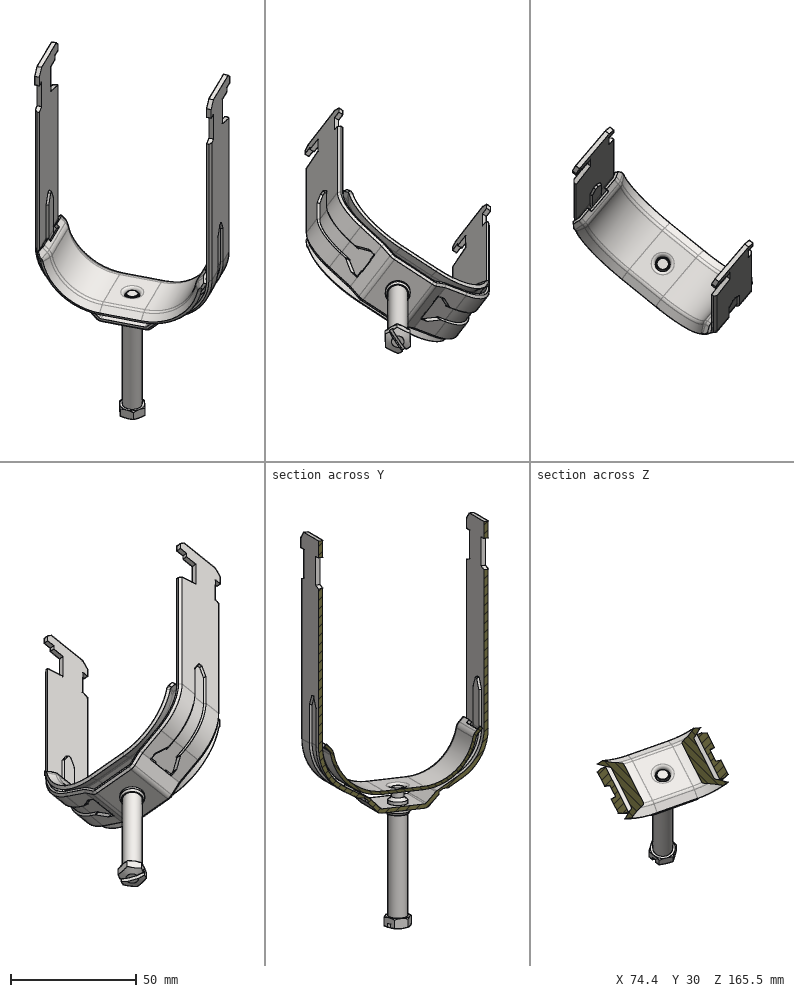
import cadquery as cq
import math


total_height = 165.5
clamp_half_width = 74.36 / 2
strap_bottom_z = 49.6
saddle_top_z = 58.9

strap_width = 23.5
strap_thickness = 2.0
strap_edge_chamfer = 1.0
strap_arc_radius = 22.0
strap_arc_z = 79.6
slant_angle = math.radians(29)
kink_x = 15.6
steep_angle = math.radians(45)
bottom_bend_radius = 3.0

neck_bottom_z = 146.5
neck_back_y = 2.7
neck_front_y = -8.8
hook_bottom_z = 158.4
hook_step_y = 8.15
hook_step_z = 160.4
hook_back_chamfer = 2.1
hook_front_chamfer = 2.9
shoulder_slope = 0.3

bead_depth = 1.0
bead_half_width = 3.25
bead_wall_run = 0.4
bead_tip_half_width = 0.9
bead_tip_z = 100.0
bead_shoulder_z = 95.5
bead_overlap = 2.0
flare_half_width = 6.0
flare_start_z = 59.0
flare_full_z = 56.4

collar_diameter = 10.0
collar_height = 2.2
collar_chamfer = 0.6

saddle_width = 30.0
saddle_thickness = 1.57
saddle_flat_half = 8.75
saddle_radius = 22.0
saddle_end_angle = math.radians(79)
rim_angle = math.radians(30)
rim_bend_radius = 3.0
rim_bend_y = 10.2
lip_bend_radius = 4.5
lip_angle = math.radians(45)
lip_clearance = 0.02
lip_notch_half_width = 5.3
lip_notch_depth = 1.55
saddle_corner = 2.4
saddle_hole_diameter = 6.0
saddle_hole_rounding = 1.6

shaft_diameter = 8.0
head_across_flats = 10.0
head_height = 5.0
head_turn = -7.5
head_face_diameter = 5.0
head_bevel_height = 1.2
head_top_bevel = 0.4
slot_width = 1.6
slot_depth = 2.5
slot_turn = 30
shaft_top_z = 53.0
neck_diameter = 5.0
neck_cone_height = 1.3
bolt_tip_diameter = 4.5
bolt_tip_recess = 0.6
bolt_tip_z = saddle_top_z - bolt_tip_recess


arc_x = clamp_half_width - strap_arc_radius
arc_end_x = arc_x + strap_arc_radius * math.sin(slant_angle)
arc_end_z = strap_arc_z - strap_arc_radius * math.cos(slant_angle)
kink_z = arc_end_z - (arc_end_x - kink_x) * math.tan(slant_angle)
bottom_x = kink_x - (kink_z - strap_bottom_z) / math.tan(steep_angle)
arc_mid_angle = (math.pi / 2 - slant_angle) / 2
arc_mid_x = arc_x + strap_arc_radius * math.cos(arc_mid_angle)
arc_mid_z = strap_arc_z - strap_arc_radius * math.sin(arc_mid_angle)
inner_face_x = clamp_half_width - strap_thickness


def u_outline(top_z):
    """Closed outline of the outside of the U, cut off flat at top_z."""
    return (
        cq.Workplane("XZ")
        .moveTo(-clamp_half_width, top_z)
        .lineTo(-clamp_half_width, strap_arc_z)
        .threePointArc((-arc_mid_x, arc_mid_z), (-arc_end_x, arc_end_z))
        .lineTo(-kink_x, kink_z)
        .lineTo(-bottom_x, strap_bottom_z)
        .lineTo(bottom_x, strap_bottom_z)
        .lineTo(kink_x, kink_z)
        .lineTo(arc_end_x, arc_end_z)
        .threePointArc((arc_mid_x, arc_mid_z), (clamp_half_width, strap_arc_z))
        .lineTo(clamp_half_width, top_z)
        .close()
    )


def u_band():
    """Plain bent strap up to the neck, with chamfered outer edges."""
    spare_height = 10.0
    outside = u_outline(neck_bottom_z + spare_height).extrude(strap_width / 2, both=True)
    outside = outside.faces("<Z").edges("|Y").fillet(bottom_bend_radius)
    outside = outside.faces("<Y or >Y").chamfer(strap_edge_chamfer)
    inside = u_outline(total_height).offset2D(-strap_thickness).extrude(strap_width, both=True)
    inside = inside.faces("<Z").edges("|Y").fillet(bottom_bend_radius - strap_thickness)
    above_neck = (
        cq.Workplane("XY", origin=(0, 0, neck_bottom_z))
        .rect(3 * clamp_half_width, 2 * strap_width)
        .extrude(2 * spare_height)
    )
    return outside.cut(inside).cut(above_neck)


def hook_plates():
    """Neck and asymmetric hook on top of both legs."""
    edge_y = strap_width / 2
    outline = [
        (neck_back_y, neck_bottom_z),
        (neck_back_y, hook_bottom_z),
        (hook_step_y, hook_bottom_z),
        (hook_step_y, hook_step_z),
        (edge_y, hook_step_z),
        (edge_y, total_height - hook_back_chamfer),
        (edge_y - hook_back_chamfer, total_height),
        (-edge_y + hook_front_chamfer, total_height),
        (-edge_y, total_height - hook_front_chamfer),
        (-edge_y, hook_bottom_z),
        (neck_front_y, hook_bottom_z),
        (neck_front_y, neck_bottom_z),
    ]
    plates = cq.Workplane("YZ").polyline(outline).close().extrude(clamp_half_width, both=True)
    gap = cq.Workplane("XY").box(2 * inner_face_x, 2 * strap_width, 3 * total_height)
    return plates.cut(gap)


def shoulder_wedges():
    """Material removed to slope the shoulders down from the neck."""
    wedges = cq.Workplane("YZ")
    for neck_y, edge_y in ((neck_back_y, strap_width / 2), (neck_front_y, -strap_width / 2)):
        drop = shoulder_slope * abs(edge_y - neck_y)
        wedge = (
            cq.Workplane("YZ")
            .polyline([(neck_y, neck_bottom_z), (edge_y, neck_bottom_z), (edge_y, neck_bottom_z - drop)])
            .close()
            .extrude(clamp_half_width, both=True)
        )
        wedges = wedges.add(wedge)
    return wedges.combine()


def bead_sweep(depth_offset, end_along_slant):
    """Trapezoid bar following the left leg, its wide face depth_offset inside the outer surface.

    It runs down the leg and its arc, then end_along_slant further along the slanted part.
    """
    start_x = -clamp_half_width + depth_offset
    radius = strap_arc_radius - depth_offset
    end_x = -arc_x - radius * math.sin(slant_angle)
    end_z = strap_arc_z - radius * math.cos(slant_angle)
    path = (
        cq.Workplane("XZ")
        .moveTo(start_x, bead_shoulder_z)
        .lineTo(start_x, strap_arc_z)
        .threePointArc(
            (-arc_x - radius * math.cos(arc_mid_angle), strap_arc_z - radius * math.sin(arc_mid_angle)),
            (end_x, end_z),
        )
    )
    if end_along_slant > 0:
        path = path.lineTo(
            end_x + end_along_slant * math.cos(slant_angle),
            end_z - end_along_slant * math.sin(slant_angle),
        )
    floor_half = bead_half_width - bead_wall_run
    section = (
        cq.Workplane("XY", origin=(0, 0, bead_shoulder_z))
        .polyline([
            (start_x, -bead_half_width),
            (start_x, bead_half_width),
            (start_x + bead_depth, floor_half),
            (start_x + bead_depth, -floor_half),
        ])
        .close()
    )
    return section.sweep(path).union(bead_tip(start_x))


def bead_tip(start_x):
    """Pointed upper end of the bead with sloping walls, wide face at start_x."""
    tip = (
        cq.Workplane("YZ", origin=(start_x, 0, 0))
        .polyline([
            (-bead_half_width, bead_shoulder_z - bead_overlap),
            (-bead_half_width, bead_shoulder_z),
            (-bead_tip_half_width, bead_tip_z),
            (bead_tip_half_width, bead_tip_z),
            (bead_half_width, bead_shoulder_z),
            (bead_half_width, bead_shoulder_z - bead_overlap),
        ])
        .close()
    )
    return tip.extrude(bead_depth, taper=math.degrees(math.atan2(bead_wall_run, bead_depth)))


def bead_flare():
    """Widening foot of the bead groove, ending at the kink of the strap."""
    floor = u_outline(total_height).offset2D(-bead_depth).extrude(strap_width, both=True)
    foot = (
        cq.Workplane("YZ", origin=(-kink_x, 0, 0))
        .polyline([
            (-bead_half_width, flare_start_z),
            (bead_half_width, flare_start_z),
            (flare_half_width, flare_full_z),
            (flare_half_width, kink_z - bead_depth),
            (-flare_half_width, kink_z - bead_depth),
            (-flare_half_width, flare_full_z),
        ])
        .close()
        .extrude(-clamp_half_width)
    )
    return foot.cut(floor)


def make_strap():
    slant_length = (arc_end_x - kink_x) / math.cos(slant_angle)
    groove = bead_sweep(0, slant_length)
    rib = bead_sweep(strap_thickness, 0)
    flare = bead_flare()
    strap = u_band().union(hook_plates()).cut(shoulder_wedges())
    strap = strap.union(rib).union(rib.mirror("YZ"))
    for cutter in (groove, flare):
        strap = strap.cut(cutter).cut(cutter.mirror("YZ"))
    collar = (
        cq.Workplane("XY", origin=(0, 0, strap_bottom_z - collar_height))
        .circle(collar_diameter / 2)
        .extrude(collar_height)
        .faces("<Z")
        .chamfer(collar_height / 2, collar_chamfer)
    )
    bolt_hole = cq.Workplane("XY").circle(shaft_diameter / 2).extrude(saddle_top_z)
    return strap.union(collar).cut(bolt_hole)


saddle_arc_z = saddle_top_z + saddle_radius

rim_under_radius = rim_bend_radius - saddle_thickness
rim_end_y = saddle_width / 2
rim_bend_end_y = rim_bend_y + rim_bend_radius * math.sin(rim_angle)
rim_bend_end_depth = rim_bend_radius * (1 - math.cos(rim_angle))
rim_end_depth = rim_bend_end_depth + (rim_end_y - rim_bend_end_y) * math.tan(rim_angle)
rim_low_y = rim_end_y - saddle_thickness * math.sin(rim_angle)
rim_low_depth = rim_end_depth + saddle_thickness * math.cos(rim_angle)
strap_edge_depth = rim_low_depth - (rim_low_y - strap_width / 2) * math.tan(rim_angle)

arc_end = (
    saddle_flat_half + saddle_radius * math.sin(saddle_end_angle),
    saddle_arc_z - saddle_radius * math.cos(saddle_end_angle),
)
lip_bend_centre = (
    arc_end[0] + lip_bend_radius * math.sin(saddle_end_angle),
    arc_end[1] - lip_bend_radius * math.cos(saddle_end_angle),
)
lip_start = (
    lip_bend_centre[0] - lip_bend_radius * math.sin(lip_angle),
    lip_bend_centre[1] + lip_bend_radius * math.cos(lip_angle),
)
lip_tip_x = inner_face_x - lip_clearance - strap_edge_depth * math.sin(lip_angle)
lip_length = (lip_tip_x - lip_start[0]) / math.cos(lip_angle)
lip_tip_z = lip_start[1] + lip_length * math.sin(lip_angle)
saddle_reach = lip_tip_x + rim_low_depth * math.sin(lip_angle)


def tray_section(position, heading):
    """Tray cross-section at an (x, z) position, square to a course rising at the heading angle."""
    plane = cq.Plane(
        origin=(position[0], 0, position[1]),
        xDir=(0, 1, 0),
        normal=(math.cos(heading), 0, math.sin(heading)),
    )

    def on_bend(radius, angle, side):
        return (
            side * (rim_bend_y + radius * math.sin(angle)),
            radius * math.cos(angle) - rim_bend_radius,
        )

    return (
        cq.Workplane(plane)
        .moveTo(-rim_end_y, -rim_end_depth)
        .lineTo(*on_bend(rim_bend_radius, rim_angle, -1))
        .threePointArc(on_bend(rim_bend_radius, rim_angle / 2, -1), on_bend(rim_bend_radius, 0, -1))
        .lineTo(*on_bend(rim_bend_radius, 0, 1))
        .threePointArc(on_bend(rim_bend_radius, rim_angle / 2, 1), on_bend(rim_bend_radius, rim_angle, 1))
        .lineTo(rim_end_y, -rim_end_depth)
        .lineTo(rim_low_y, -rim_low_depth)
        .lineTo(*on_bend(rim_under_radius, rim_angle, 1))
        .threePointArc(on_bend(rim_under_radius, rim_angle / 2, 1), on_bend(rim_under_radius, 0, 1))
        .lineTo(*on_bend(rim_under_radius, 0, -1))
        .threePointArc(on_bend(rim_under_radius, rim_angle / 2, -1), on_bend(rim_under_radius, rim_angle, -1))
        .lineTo(-rim_low_y, -rim_low_depth)
        .close()
    )


def saddle_tray():
    """Tray section run along the flat, the arcs, the lip bends and the lips."""
    flat_end = (saddle_flat_half, saddle_top_z)
    arc = tray_section(flat_end, 0).revolve(
        math.degrees(saddle_end_angle), (0, saddle_radius, 0), (-1, saddle_radius, 0)
    )
    bend = tray_section(arc_end, saddle_end_angle).revolve(
        math.degrees(saddle_end_angle - lip_angle), (0, -lip_bend_radius, 0), (1, -lip_bend_radius, 0)
    )
    lip = tray_section(lip_start, lip_angle).extrude(lip_length)
    half = tray_section((0, saddle_top_z), 0).extrude(saddle_flat_half).union(arc).union(bend).union(lip)
    return half.union(half.mirror("YZ"))


def lip_notch():
    """Cutout in the right lip that clears the bead of the strap."""
    return (
        cq.Workplane("XY")
        .box(2 * lip_notch_depth, 2 * lip_notch_half_width, 4 * saddle_thickness)
        .rotate((0, 0, 0), (0, 1, 0), -math.degrees(lip_angle))
        .translate((lip_tip_x, 0, lip_tip_z))
    )


def saddle_plan():
    """Upright block with cut corners that trims the plan outline of the saddle."""
    return (
        cq.Workplane("XY")
        .rect(2 * saddle_reach, saddle_width)
        .extrude(total_height)
        .edges("|Z")
        .chamfer(saddle_corner)
    )


def saddle_hole():
    """Bolt hole whose upper rim is rolled over with a round."""
    hole_radius = saddle_hole_diameter / 2
    round_top = hole_radius + saddle_hole_rounding
    round_start_z = saddle_top_z - saddle_hole_rounding
    bulge = saddle_hole_rounding * math.sqrt(0.5)
    return (
        cq.Workplane("XZ")
        .moveTo(0, strap_bottom_z)
        .lineTo(hole_radius, strap_bottom_z)
        .lineTo(hole_radius, round_start_z)
        .threePointArc((round_top - bulge, round_start_z + bulge), (round_top, saddle_top_z))
        .lineTo(0, saddle_top_z)
        .close()
        .revolve(360, (0, 0, 0), (0, 1, 0))
    )


def make_saddle():
    notch = lip_notch()
    saddle = saddle_tray().intersect(saddle_plan())
    return saddle.cut(notch).cut(notch.mirror("YZ")).cut(saddle_hole())


def bolt_head():
    """Hexagon head, bevelled at both faces, with a screwdriver slot from below square to two flats."""
    corner_radius = head_across_flats / math.sqrt(3)
    hexagon = cq.Workplane("XY").polygon(6, 2 * corner_radius).extrude(head_height)
    bevels = (
        cq.Workplane("XZ")
        .polyline([
            (0, 0),
            (head_face_diameter / 2, 0),
            (corner_radius, head_bevel_height),
            (corner_radius, head_height - head_top_bevel),
            (head_across_flats / 2, head_height),
            (0, head_height),
        ])
        .close()
        .revolve(360, (0, 0, 0), (0, 1, 0))
    )
    slot = cq.Workplane("XY").rect(3 * corner_radius, slot_width).extrude(slot_depth)
    slot = slot.rotate((0, 0, 0), (0, 0, 1), slot_turn)
    return hexagon.intersect(bevels).cut(slot).rotate((0, 0, 0), (0, 0, 1), head_turn)


def make_bolt():
    neck_radius = neck_diameter / 2
    tip_radius = bolt_tip_diameter / 2
    shank = (
        cq.Workplane("XZ")
        .polyline([
            (0, head_height),
            (shaft_diameter / 2, head_height),
            (shaft_diameter / 2, shaft_top_z),
            (neck_radius, shaft_top_z + neck_cone_height),
            (neck_radius, bolt_tip_z - (neck_radius - tip_radius)),
            (tip_radius, bolt_tip_z),
            (0, bolt_tip_z),
        ])
        .close()
        .revolve(360, (0, 0, 0), (0, 1, 0))
    )
    return bolt_head().union(shank)


strap = make_strap()
saddle = make_saddle()
bolt = make_bolt()

result = cq.Compound.makeCompound([strap.solids().val(), saddle.solids().val(), bolt.solids().val()])